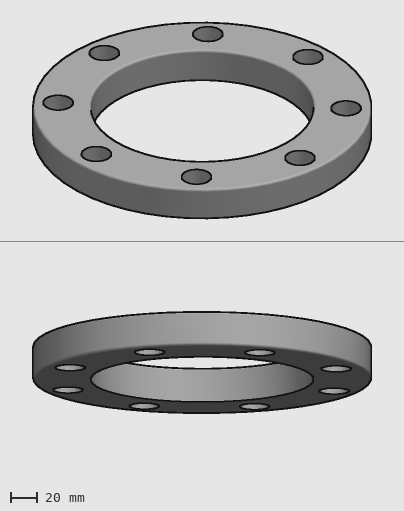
import cadquery as cq

outer_diameter = 254.0
bore_diameter = 167.0
thickness = 26.0
rim_fillet = 2.0
bore_fillet = 2.0

hole_count = 8
hole_diameter = 22.4
bolt_circle_diameter = 216.0
half_pitch_angle = 180.0 / hole_count


def make_ring():
    """Flat ring, rounded on both rim edges and on the top edge of the bore."""
    disc = cq.Workplane("XY").circle(outer_diameter / 2).extrude(thickness)
    disc = disc.edges("%CIRCLE").fillet(rim_fillet)
    ring = disc.faces(">Z").workplane().hole(bore_diameter)
    bore_edge = cq.selectors.RadiusNthSelector(0)
    return ring.faces(">Z").edges(bore_edge).fillet(bore_fillet)


def make_bolt_holes():
    """Through holes straddling the X and Y axes."""
    return (
        cq.Workplane("XY")
        .polarArray(bolt_circle_diameter / 2, half_pitch_angle, 360, hole_count)
        .circle(hole_diameter / 2)
        .extrude(thickness)
    )


result = make_ring().cut(make_bolt_holes())